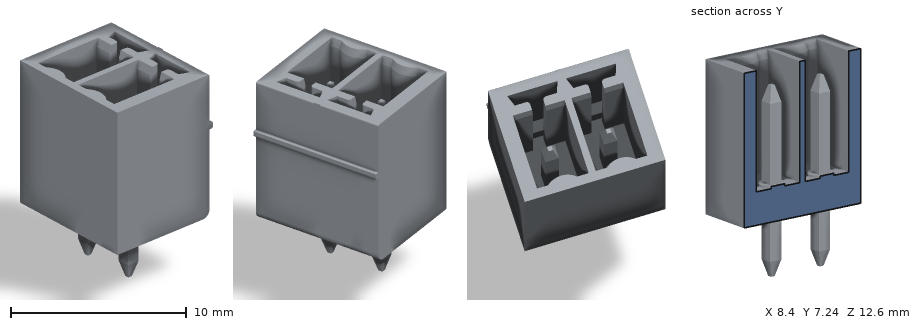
import cadquery as cq
import math

overall_height = 12.6
ways = 2
pitch = 3.5

body_width = 8.4
body_depth = 6.99
pin_projection = 3.4
body_height = overall_height - pin_projection
heel_radius = 0.5

rear_edge_radius = 0.1
square_stretch_width = 0.39

rib_depth = 0.25
rib_height = 0.39
rib_top = body_height - 3.16
rib_radius = 0.15

cavity_floor = 2.02
partition = 0.4
cavity_width = pitch - partition
mouth_front = 0.55
mouth_rear = 5.13
lead_in = 0.14
lead_in_depth = 0.5

hump_centre_y = -0.4
hump_mouth_radius = 1.29

slot_front = 5.67
slot_rear = 6.34
slot_front_width = 2.52
slot_rear_width = 3.0
slot_floor = cavity_floor + 1.01
neck_width = 0.8
neck_radius = 0.2

pin_y = 3.0
pin_size = 0.81
pin_tip_size = 0.26
pin_taper = 1.0
pin_top = body_height - 1.25
collar_diameter = 1.6
collar_height = 0.13


def make_body():
    """Plain block with a rounded heel and a rounded rear top edge."""
    body = (
        cq.Workplane("XY")
        .box(body_width, body_depth, body_height, centered=(True, False, False))
        .edges(">Y and <Z").fillet(heel_radius)
        .edges(">Y and >Z").fillet(rear_edge_radius)
    )
    square_stretch = (
        cq.Workplane("XY", origin=(0, body_depth, body_height))
        .box(square_stretch_width, 2 * rear_edge_radius, rear_edge_radius)
        .translate((0, -rear_edge_radius, -rear_edge_radius / 2))
    )
    return body.union(square_stretch)


def make_rib():
    """Full-width rib on the rear face with its lower outer edge rounded."""
    return (
        cq.Workplane("XY", origin=(0, body_depth - rib_depth, rib_top - rib_height))
        .box(body_width, 2 * rib_depth, rib_height, centered=(True, False, False))
        .edges(">Y and <Z").fillet(rib_radius)
    )


def make_cavity():
    """Space of one cavity: a box with lead-in bevels front and rear, less the hump."""
    bevel_base = body_height - lead_in_depth
    side_profile = [
        (mouth_front, body_height),
        (mouth_front + lead_in, bevel_base),
        (mouth_front + lead_in, cavity_floor),
        (mouth_rear - lead_in, cavity_floor),
        (mouth_rear - lead_in, bevel_base),
        (mouth_rear, body_height),
    ]
    space = cq.Workplane("YZ").polyline(side_profile).close().extrude(cavity_width / 2, both=True)
    hump_radius = hump_mouth_radius + lead_in
    hump_profile = [
        (0, cavity_floor),
        (hump_radius, cavity_floor),
        (hump_radius, bevel_base),
        (hump_mouth_radius, body_height),
        (0, body_height),
    ]
    hump = (
        cq.Workplane("XZ").polyline(hump_profile).close()
        .revolve(360, (0, 0, 0), (0, 1, 0))
        .translate((0, hump_centre_y, 0))
    )
    return space.cut(hump)


def make_neck():
    """Passage from the cavity to the latch slot, flared by arcs where it meets the slot."""
    half = neck_width / 2
    flare_start = slot_front - neck_radius
    inset = neck_radius * (1 - math.sqrt(0.5))
    cavity_side = mouth_rear - 2 * lead_in
    return (
        cq.Workplane("XY", origin=(0, 0, cavity_floor))
        .moveTo(-half, cavity_side)
        .lineTo(half, cavity_side)
        .lineTo(half, flare_start)
        .threePointArc((half + inset, slot_front - inset), (half + neck_radius, slot_front))
        .lineTo(-half - neck_radius, slot_front)
        .threePointArc((-half - inset, slot_front - inset), (-half, flare_start))
        .close()
        .extrude(body_height - cavity_floor)
    )


def make_latch_slot():
    """Pocket that widens towards the rear wall."""
    outline = [
        (-slot_front_width / 2, slot_front),
        (slot_front_width / 2, slot_front),
        (slot_rear_width / 2, slot_rear),
        (-slot_rear_width / 2, slot_rear),
    ]
    return (
        cq.Workplane("XY", origin=(0, 0, slot_floor))
        .polyline(outline).close()
        .extrude(body_height - slot_floor)
    )


def make_pin():
    """Square pin tapered at both ends, with a low round collar on the cavity floor."""
    shank_bottom = pin_taper - pin_projection
    shank_top = pin_top - pin_taper
    pin = (
        cq.Workplane("XY", origin=(0, 0, shank_bottom))
        .rect(pin_size, pin_size).extrude(shank_top - shank_bottom)
    )
    for start, direction in ((shank_bottom, -1), (shank_top, 1)):
        tip = (
            cq.Workplane("XY", origin=(0, 0, start))
            .rect(pin_size, pin_size)
            .workplane(offset=direction * pin_taper)
            .rect(pin_tip_size, pin_tip_size)
            .loft(ruled=True)
        )
        pin = pin.union(tip)
    collar = (
        cq.Workplane("XY", origin=(0, 0, cavity_floor))
        .circle(collar_diameter / 2).extrude(collar_height)
    )
    return pin.union(collar).translate((0, pin_y, 0))


result = make_body().union(make_rib())
for way in range(ways):
    way_x = (way - (ways - 1) / 2) * pitch
    for space in (make_cavity(), make_neck(), make_latch_slot()):
        result = result.cut(space.translate((way_x, 0, 0)))
    result = result.union(make_pin().translate((way_x, 0, 0)))